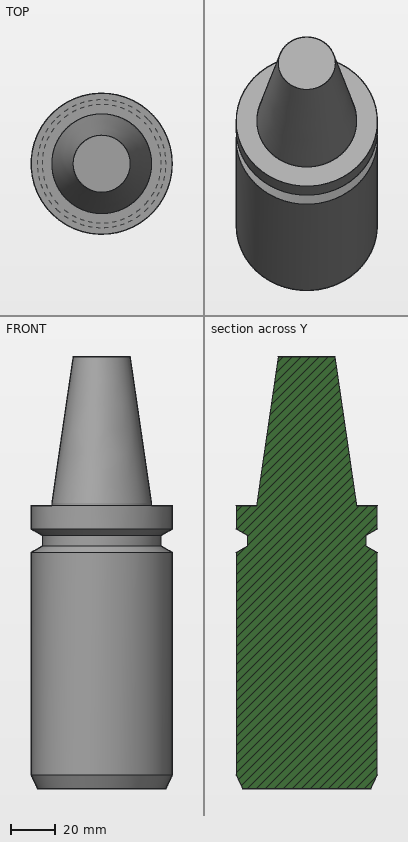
import cadquery as cq

total_height = 192.4
body_diameter = 63.0

shank_length = 66.4
shank_tip_diameter = 25.4
shank_base_diameter = 44.5
shank_neck_length = 1.2

flange_rim_height = 10.4
groove_floor_diameter = 53.0
groove_upper_slope_height = 2.9
groove_floor_height = 4.6
groove_lower_slope_height = 2.9
lower_rim_height = 5.2

nose_diameter = 57.1
nose_height = 6.2

flange_top = total_height - shank_length
groove_top = flange_top - flange_rim_height
floor_top = groove_top - groove_upper_slope_height
floor_bottom = floor_top - groove_floor_height
groove_bottom = floor_bottom - groove_lower_slope_height
body_top = groove_bottom - lower_rim_height


def shank():
    """Tapered shank with a short straight neck at the flange."""
    radius = shank_base_diameter / 2
    return (
        cq.Workplane("XZ")
        .moveTo(0, flange_top)
        .lineTo(radius, flange_top)
        .lineTo(radius, flange_top + shank_neck_length)
        .lineTo(shank_tip_diameter / 2, total_height)
        .lineTo(0, total_height)
        .close()
        .revolve(360, (0, 0, 0), (0, 1, 0))
    )


def flange():
    """Flange between the body and the shank, with the groove around it."""
    rim_radius = body_diameter / 2
    floor_radius = groove_floor_diameter / 2
    return (
        cq.Workplane("XZ")
        .moveTo(0, body_top)
        .lineTo(rim_radius, body_top)
        .lineTo(rim_radius, groove_bottom)
        .lineTo(floor_radius, floor_bottom)
        .lineTo(floor_radius, floor_top)
        .lineTo(rim_radius, groove_top)
        .lineTo(rim_radius, flange_top)
        .lineTo(0, flange_top)
        .close()
        .revolve(360, (0, 0, 0), (0, 1, 0))
    )


def body():
    """Cylindrical body with a conical nose at the bottom."""
    side_inset = (body_diameter - nose_diameter) / 2
    return (
        cq.Workplane("XY")
        .circle(body_diameter / 2)
        .extrude(body_top)
        .faces("<Z")
        .chamfer(nose_height, side_inset)
    )


result = body().union(flange()).union(shank())